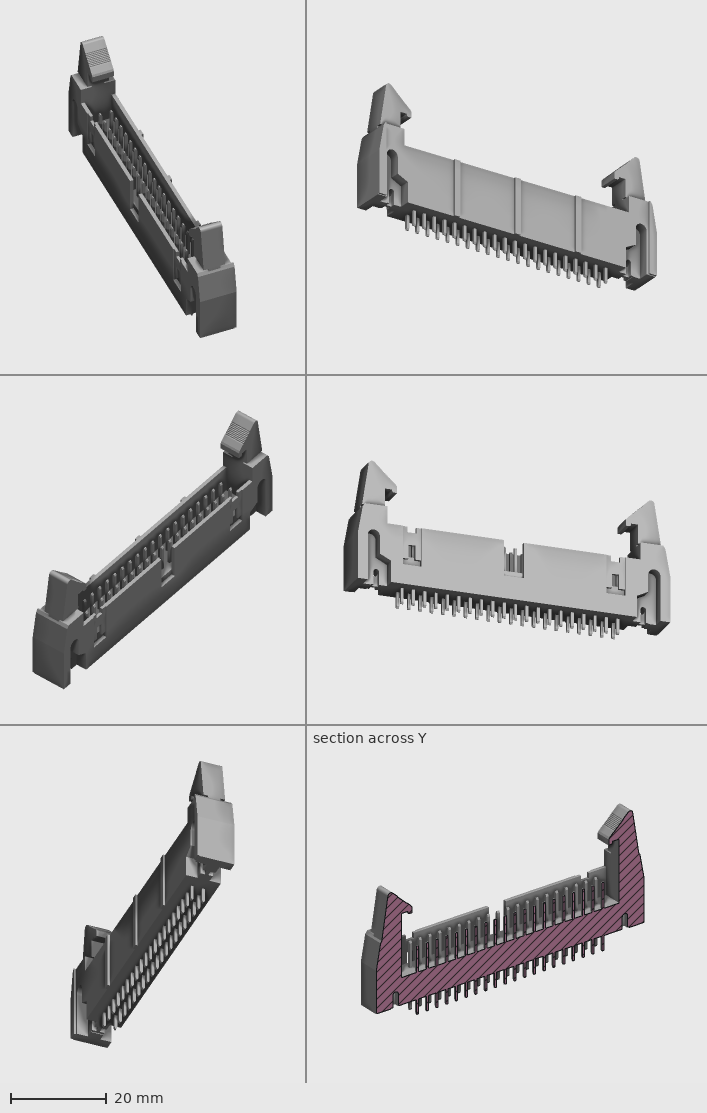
import cadquery as cq
import math


half_length = 35.0
body_width = 7.85
half_width = body_width / 2
body_height = 13.1
wall = 0.85
floor_top = 6.5
tower_inner_x = 28.35

pins_per_row = 20
pin_row_length = 48.3
pin_pitch = pin_row_length / (pins_per_row - 1)
pin_size = 0.6
pin_tip_thickness = 0.2
pin_taper = 0.4
pin_top = 12.7
pin_bottom = -3.5

tower_top = 16.95
tower_bend_z = 10.1
tower_bevel_x = 33.9
tower_bevel_z = 16.25
tower_shoulder_x = 33.4
foot_drop = 0.15
foot_inner_x = 31.1

slot_outer_x = 32.75
slot_inner_x = 30.0
slot_radius = (slot_outer_x - slot_inner_x) / 2
slot_top = 11.3
slot_bend_z = 6.0
slot_foot_x = 27.5
slot_foot_z = 4.75

latch_width = 4.9
neck_width = 2.8
latch_bottom = 17.3
latch_top = 27.4
latch_lean = math.radians(9.0)
latch_slope = math.radians(43.0)
tip_x = 31.2
tip_radius = 0.8
hook_nose_x = 25.6
hook_slope_end_x = 25.9
hook_nose_z = 22.25
hook_bottom = 20.85
hook_roof = 21.5
lip_inner_x = 26.75
lip_chamfer = 0.3

pivot_x = 29.9
pivot_z = 2.9
pivot_diameter = 1.25
pivot_groove_depth = 1.05

grip_start_x = 29.3
grip_end_x = 27.0
grip_count = 9
grip_depth = 0.105

notch_width = 4.5
notch_bottom = 5.1
recess_x = 22.8
recess_width = 4.2
recess_depth = 0.2
recess_bottom = 4.4
recess_pocket_top = 5.9
gap_width = 2.0
gap_bottom = 11.8
window_width = 1.55
window_top = 9.0

rib_depth = 0.5
rib_width = 1.4
rib_spacing = 15.25
end_rib_width = 1.8


def block(x_range, y_range, z_range):
    """Box spanning the given (low, high) range on each axis."""
    spans = (x_range, y_range, z_range)
    sizes = [high - low for low, high in spans]
    return cq.Workplane("XY").box(*sizes, centered=False).translate([low for low, high in spans])


def centred(middle, width):
    """Range of the given width around a middle position."""
    return (middle - width / 2, middle + width / 2)


def extrude_across(outline, width):
    """Extrude an XZ outline by the given width, centred on Y = 0."""
    return outline.extrude(width / 2, both=True)


def make_pin(x, y):
    """Square pin with a chisel tip, thinned along Y, at each end."""
    half_size = pin_size / 2
    half_tip = pin_tip_thickness / 2
    outline = (
        cq.Workplane("YZ", origin=(x - half_size, y, 0))
        .moveTo(-half_tip, pin_bottom)
        .lineTo(half_tip, pin_bottom)
        .lineTo(half_size, pin_bottom + pin_taper)
        .lineTo(half_size, pin_top - pin_taper)
        .lineTo(half_tip, pin_top)
        .lineTo(-half_tip, pin_top)
        .lineTo(-half_size, pin_top - pin_taper)
        .lineTo(-half_size, pin_bottom + pin_taper)
        .close()
    )
    return outline.extrude(pin_size)


def make_tower():
    """Left tower, with an end wall that leans inwards and a foot just below the box."""
    outline = (
        cq.Workplane("XZ")
        .moveTo(-half_length, -foot_drop)
        .lineTo(-half_length, tower_bend_z)
        .lineTo(-tower_bevel_x, tower_bevel_z)
        .lineTo(-tower_shoulder_x, tower_top)
        .lineTo(-tower_inner_x, tower_top)
        .lineTo(-tower_inner_x, 0)
        .lineTo(-foot_inner_x, 0)
        .lineTo(-foot_inner_x, -foot_drop)
        .close()
    )
    return extrude_across(outline, body_width)


def make_slots():
    """Arched openings on both sides of the left neck, leaving the neck standing between them."""
    opening = (
        cq.Workplane("XZ")
        .moveTo(-slot_outer_x, -foot_drop)
        .lineTo(-slot_outer_x, slot_top - slot_radius)
        .threePointArc(
            (-slot_outer_x + slot_radius, slot_top),
            (-slot_inner_x, slot_top - slot_radius),
        )
        .lineTo(-slot_inner_x, slot_bend_z)
        .lineTo(-slot_foot_x, slot_foot_z)
        .lineTo(-slot_foot_x, -foot_drop)
        .close()
    )
    neck = block((-half_length, 0), centred(0, neck_width), (-foot_drop, tower_top))
    return extrude_across(opening, body_width).cut(neck)


def make_pivot_cut():
    """Pivot hole through the left neck, with a groove below it on each face."""
    hole = cq.Workplane("XZ").center(-pivot_x, pivot_z).circle(pivot_diameter / 2)
    cutter = extrude_across(hole, neck_width)
    groove_x = centred(-pivot_x, pivot_diameter)
    grooves = block(groove_x, centred(0, neck_width), (-foot_drop, pivot_z))
    web = block(groove_x, centred(0, neck_width - 2 * pivot_groove_depth), (-foot_drop, pivot_z))
    return cutter.union(grooves.cut(web))


def latch_slope_point(x, height=0.0):
    """Point at x on the left latch's sloping top, raised by the given height square to the slope."""
    tangent_x = -tip_x + tip_radius * math.sin(latch_slope)
    tangent_z = latch_top - tip_radius * (1 - math.cos(latch_slope))
    slope_z = tangent_z - (x - tangent_x) * math.tan(latch_slope)
    return (x + height * math.sin(latch_slope), slope_z + height * math.cos(latch_slope))


def latch_back_point(z):
    """Point at height z on the left latch's leaning outer face."""
    tangent_x = -tip_x - tip_radius * math.cos(latch_lean)
    tangent_z = latch_top - tip_radius * (1 - math.sin(latch_lean))
    return (tangent_x - (tangent_z - z) * math.tan(latch_lean), z)


def make_grip_grooves():
    """Row of V grooves across the sloping top of the left latch."""
    pitch = (grip_start_x - grip_end_x) / grip_count
    outline = cq.Workplane("XZ").moveTo(*latch_slope_point(-grip_start_x))
    for index in range(grip_count):
        groove_x = -grip_start_x + index * pitch
        outline = outline.lineTo(*latch_slope_point(groove_x + pitch / 2, -grip_depth))
        outline = outline.lineTo(*latch_slope_point(groove_x + pitch))
    outline = outline.lineTo(*latch_slope_point(-grip_end_x, grip_depth))
    outline = outline.lineTo(*latch_slope_point(-grip_start_x, grip_depth)).close()
    return extrude_across(outline, latch_width)


def make_latch():
    """Hooked head of the left latch, with a rounded tip and a narrow neck sunk into the tower."""
    tip_back_z = latch_top - tip_radius * (1 - math.sin(latch_lean))
    tip_front_x = -tip_x + tip_radius * math.sin(latch_slope)
    outline = (
        cq.Workplane("XZ")
        .moveTo(*latch_back_point(latch_bottom))
        .lineTo(*latch_back_point(tip_back_z))
        .threePointArc((-tip_x, latch_top), latch_slope_point(tip_front_x))
        .lineTo(*latch_slope_point(-hook_slope_end_x))
        .lineTo(-hook_nose_x, hook_nose_z)
        .lineTo(-hook_nose_x, hook_bottom)
        .lineTo(-lip_inner_x + lip_chamfer, hook_bottom)
        .lineTo(-lip_inner_x, hook_bottom + lip_chamfer)
        .lineTo(-lip_inner_x, hook_roof)
        .lineTo(-tower_inner_x, hook_roof)
        .lineTo(-tower_inner_x, latch_bottom)
        .close()
    )
    head = extrude_across(outline, latch_width).cut(make_grip_grooves())
    neck = (
        cq.Workplane("XZ")
        .moveTo(*latch_back_point(latch_bottom))
        .lineTo(*latch_back_point(tower_bevel_z))
        .lineTo(-tower_inner_x, tower_bevel_z)
        .lineTo(-tower_inner_x, latch_bottom)
        .close()
    )
    return head.union(extrude_across(neck, neck_width))


def make_end_rib():
    """Rib on the back of the left tower, following its leaning end wall."""
    x_range = (-half_length, -half_length + end_rib_width)
    limits = block(x_range, (-half_width, half_width), (0, tower_top))
    return make_tower().intersect(limits).translate((0, rib_depth, 0))


def make_front_recess():
    """Left front recess: shallow panel, gap in the rim, window and pocket through the wall."""
    panel_y = (-half_width, -half_width + recess_depth)
    wall_y = (-half_width, -half_width + wall)
    recess_span = centred(-recess_x, recess_width)
    panel = block(recess_span, panel_y, (recess_bottom, body_height))
    pocket = block(recess_span, wall_y, (recess_bottom, recess_pocket_top))
    window = block(centred(-recess_x, window_width), wall_y, (recess_pocket_top, window_top))
    gap = block(centred(-recess_x, gap_width), wall_y, (gap_bottom, body_height))
    return panel.union(pocket).union(window).union(gap)


def both_ends(shape):
    """The left-hand shape together with its mirror image at the right-hand end."""
    return shape.union(shape.mirror("YZ"))


inner_span = (-tower_inner_x, tower_inner_x)
result = block(inner_span, centred(0, body_width), (0, body_height))
result = result.cut(block(inner_span, centred(0, body_width - 2 * wall), (floor_top, body_height)))

result = result.union(both_ends(make_tower()))
result = result.union(both_ends(make_latch()))
result = result.union(both_ends(make_end_rib()))
result = result.cut(both_ends(make_slots()))
result = result.cut(both_ends(make_pivot_cut()))

front_wall = (-half_width, -half_width + wall)
result = result.cut(block(centred(0, notch_width), front_wall, (notch_bottom, body_height)))
result = result.cut(both_ends(make_front_recess()))

for position in (-1, 0, 1):
    rib_span = centred(position * rib_spacing, rib_width)
    rib = block(rib_span, (half_width, half_width + rib_depth), (0, body_height))
    result = result.union(rib)

for column in range(pins_per_row):
    pin_x = column * pin_pitch - pin_row_length / 2
    for pin_y in (-pin_pitch / 2, pin_pitch / 2):
        result = result.union(make_pin(pin_x, pin_y))